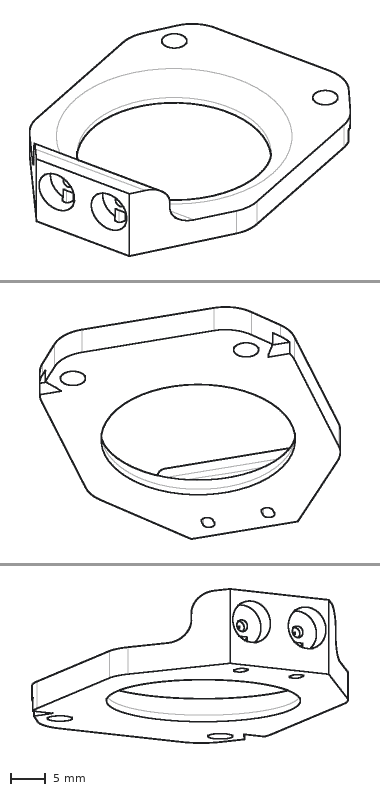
import cadquery as cq
import math

half_width = 19.0
front_y = -24.0
back_y = 26.0
front_half_width = 8.0
back_half_width = 13.0
front_shoulder_y = -9.2
back_shoulder_y = 17.6
corner_radius = 6.0
plate_thickness = 4.0

bore_radius = 14.0
blend_radius = 3.0

lug_height = 11.0
lug_depth = 5.0
lug_top_radius = 3.0

screw_x = 13.0
screw_y = 20.0
screw_diameter = 3.6

notch_height = 2.0
notch_front_y = 17.35
notch_bend_y = 18.5
notch_mouth_x = 17.15
notch_mouth_y = 20.4
notch_back_angle = 60.0
notch_front_angle = 65.0

pocket_x = 4.5
pocket_z = 6.5
pocket_diameter = 6.1
pocket_depth = 3.0
recess_diameter = 1.7
recess_depth = 1.0
pilot_diameter = 0.3
pilot_depth = 0.5

slot_width = 1.7
slot_straight_length = 0.8
slot_roof_z = 4.9
slot_roof_slope = 25.0

lug_back_y = front_y + lug_depth
pocket_floor_y = front_y + pocket_depth
body_reach = back_y - front_y


def make_plate():
    outline = [
        (-front_half_width, front_y),
        (front_half_width, front_y),
        (half_width, front_shoulder_y),
        (half_width, back_shoulder_y),
        (back_half_width, back_y),
        (-back_half_width, back_y),
        (-half_width, back_shoulder_y),
        (-half_width, front_shoulder_y),
    ]
    body = cq.Workplane("XY").polyline(outline).close().extrude(lug_height)
    body = body.edges("|Z").edges(cq.selectors.BoxSelector(
        (-body_reach, front_y + corner_radius, -body_reach), (body_reach, body_reach, body_reach)
    )).fillet(corner_radius)
    clearance = cq.Workplane("XY").box(
        2 * half_width, back_y - lug_back_y, lug_height - plate_thickness, centered=(True, False, False)
    ).translate((0, lug_back_y, plate_thickness))
    return body.cut(clearance)


def edge_near(point):
    return cq.selectors.NearestToPointSelector(point)


def add_bore(body):
    return body.cut(cq.Workplane("XY").circle(bore_radius).extrude(plate_thickness))


def round_edges(body):
    top_edge = edge_near((0, lug_back_y, lug_height))
    body = body.edges(top_edge).fillet(lug_top_radius)
    body = body.edges(edge_near((0, 0, plate_thickness))).fillet(blend_radius)
    return body.edges(edge_near((0, lug_back_y, plate_thickness))).fillet(blend_radius)


def screw_cutter(x):
    return cq.Workplane("XY").center(x, screw_y).circle(screw_diameter / 2).extrude(plate_thickness)


def notch_cutter(side):
    back_run = (notch_mouth_y - notch_bend_y) / math.tan(math.radians(notch_back_angle))
    front_run = (notch_bend_y - notch_front_y) / math.tan(math.radians(notch_front_angle))
    bend_x = notch_mouth_x - back_run
    inner_x = bend_x - front_run
    outline = [
        (side * notch_mouth_x, notch_mouth_y),
        (side * bend_x, notch_bend_y),
        (side * inner_x, notch_front_y),
        (side * half_width, notch_front_y),
        (side * half_width, notch_mouth_y),
    ]
    return cq.Workplane("XY").polyline(outline).close().extrude(notch_height)


def bore_into_lug(x, diameter, depth):
    axis = cq.Vector(0, 1, 0)
    return cq.Workplane(cq.Solid.makeCylinder(
        diameter / 2, depth, cq.Vector(x, front_y, pocket_z), axis))


def pocket_cutter(x):
    cutter = bore_into_lug(x, pocket_diameter, pocket_depth)
    cutter = cutter.union(bore_into_lug(x, recess_diameter, pocket_depth + recess_depth))
    return cutter.union(bore_into_lug(x, pilot_diameter, pocket_depth + recess_depth + pilot_depth))


def slot_cutter(x):
    slot_length = slot_straight_length + slot_width
    slot_center_y = pocket_floor_y + slot_straight_length / 2
    slot = cq.Workplane("XY").center(x, slot_center_y).slot2D(slot_length, slot_width, 90).extrude(slot_roof_z)
    roof_drop = slot_length * math.tan(math.radians(slot_roof_slope))
    roof_profile = [
        (pocket_floor_y, slot_roof_z),
        (pocket_floor_y + slot_length, slot_roof_z),
        (pocket_floor_y + slot_length, slot_roof_z - roof_drop),
    ]
    roof = cq.Workplane("YZ").polyline(roof_profile).close().extrude(slot_width / 2, both=True)
    return slot.cut(roof.translate((x, 0, 0)))


part = round_edges(add_bore(make_plate()))
for side in (-1, 1):
    part = part.cut(screw_cutter(side * screw_x))
    part = part.cut(notch_cutter(side))
    part = part.cut(pocket_cutter(side * pocket_x))
    part = part.cut(slot_cutter(side * pocket_x))

result = part